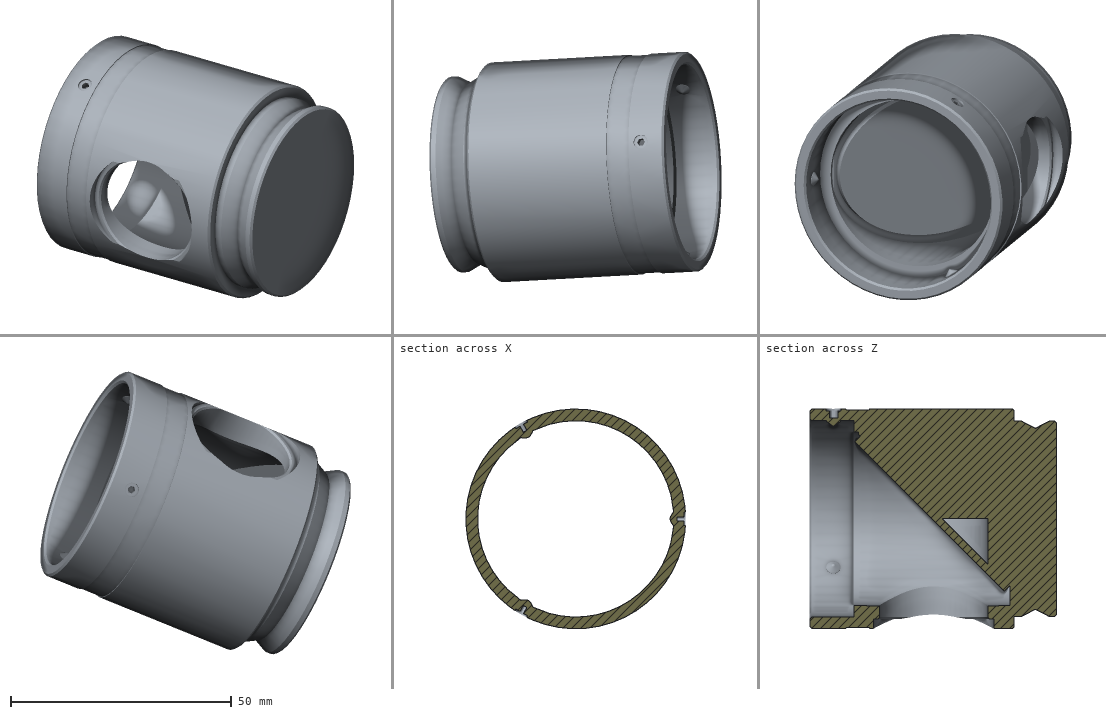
import cadquery as cq
import math

total_length = 56.0
body_radius = 50.0 / 2
body_end = 46.45
edge_chamfer = 0.45
groove_start = 8.25
groove_end = 13.5
groove_radius = 49.5 / 2

neck_radius = 22.3
vee_radius = 20.6
vee_start = 47.95
vee_end = 54.45
vee_middle = (vee_start + vee_end) / 2

entry_radius = 44.45 / 2
entry_depth = 9.95
entry_chamfer = 0.45
bore_radius = 39.4 / 2
bore_end = 45.4

mirror_tilt = 45.0
seat_axis_x = 30.2
seat_start = 10.9
mirror_width = 34.0
mirror_length = mirror_width / math.cos(math.radians(mirror_tilt))
mirror_thickness = 1.8
mirror_base_y = 1.8

window_x = 28.1
window_radius = 24.55 / 2
window_chamfer = 0.4
counterbore_radius = 13.65
counterbore_floor = 22.75

screw_count = 3
screw_x = 5.4
screw_radius = 3.25 / 2
screw_head_radius = 24.6
screw_tip_radius = 20.9
screw_cone_height = 1.2
socket_width = 1.55
socket_depth = 1.55


def cylinder_x(radius, start, end):
    return cq.Workplane("YZ", origin=(start, 0, 0)).circle(radius).extrude(end - start)


def housing():
    profile = [
        (0, 0),
        (0, body_radius - edge_chamfer),
        (edge_chamfer, body_radius),
        (groove_start, body_radius),
        (groove_start, groove_radius),
        (groove_end, groove_radius),
        (groove_end, body_radius),
        (body_end - edge_chamfer, body_radius),
        (body_end, body_radius - edge_chamfer),
        (body_end, neck_radius),
        (vee_start, neck_radius),
        (vee_middle, vee_radius),
        (vee_end, neck_radius),
        (total_length - edge_chamfer, neck_radius),
        (total_length, neck_radius - edge_chamfer),
        (total_length, 0),
    ]
    return cq.Workplane("XY").polyline(profile).close().revolve(360, (0, 0, 0), (1, 0, 0))


def seat_plane(y):
    """Plane on the mirror seat at a given y, with its normal leaning to -X and -Y."""
    return cq.Plane(origin=(seat_axis_x - y, y, 0), xDir=(-1, 1, 0), normal=(-1, -1, 0))


def bore():
    """Entry counterbore and main bore; the main bore is cut off by the tilted seat."""
    entry_profile = [
        (0, 0),
        (0, entry_radius + entry_chamfer),
        (entry_chamfer, entry_radius),
        (entry_depth, entry_radius),
        (entry_depth, 0),
    ]
    entry = cq.Workplane("XY").polyline(entry_profile).close().revolve(360, (0, 0, 0), (1, 0, 0))
    open_side = cq.Workplane(seat_plane(0)).rect(2 * total_length, 2 * total_length).extrude(total_length)
    tilted = cylinder_x(bore_radius, 0, bore_end).intersect(open_side)
    return entry.union(cylinder_x(bore_radius, 0, seat_start)).union(tilted)


def mirror():
    return (
        cq.Workplane(seat_plane(mirror_base_y))
        .ellipse(mirror_length / 2, mirror_width / 2)
        .extrude(mirror_thickness)
        .intersect(cylinder_x(bore_radius, 0, body_end))
    )


def window():
    """Side hole from the axis outward, with a chamfered rim and a flat counterbore."""
    profile = [
        (0, 0),
        (window_radius, 0),
        (window_radius, -counterbore_floor + window_chamfer),
        (window_radius + window_chamfer, -counterbore_floor),
        (counterbore_radius, -counterbore_floor),
        (counterbore_radius, -body_radius),
        (0, -body_radius),
    ]
    plane = cq.Workplane("XY", origin=(window_x, 0, 0))
    return plane.polyline(profile).close().revolve(360, (0, 0, 0), (0, 1, 0))


def at_screws(shape):
    """Copies of a +Y shape, evenly spaced around the X axis."""
    step = 360 / screw_count
    return [shape.rotate((0, 0, 0), (1, 0, 0), i * step) for i in range(screw_count)]


def screw():
    cone_base = screw_tip_radius + screw_cone_height
    profile = [
        (0, screw_tip_radius),
        (screw_radius, cone_base),
        (screw_radius, screw_head_radius),
        (0, screw_head_radius),
    ]
    plane = cq.Workplane("XY", origin=(screw_x, 0, 0))
    return plane.polyline(profile).close().revolve(360, (0, 0, 0), (0, 1, 0))


def screw_recess():
    """Shallow round opening above the screw head and the hex socket below it."""
    head = cq.Workplane("XZ", origin=(screw_x, screw_head_radius, 0))
    opening = head.circle(screw_radius).extrude(screw_head_radius - body_radius)
    hex_diameter = socket_width / math.cos(math.pi / 6)
    return opening.union(head.polygon(6, hex_diameter).extrude(socket_depth))


result = housing().cut(bore()).cut(window()).union(mirror())
for set_screw in at_screws(screw()):
    result = result.union(set_screw)
for recess in at_screws(screw_recess()):
    result = result.cut(recess)